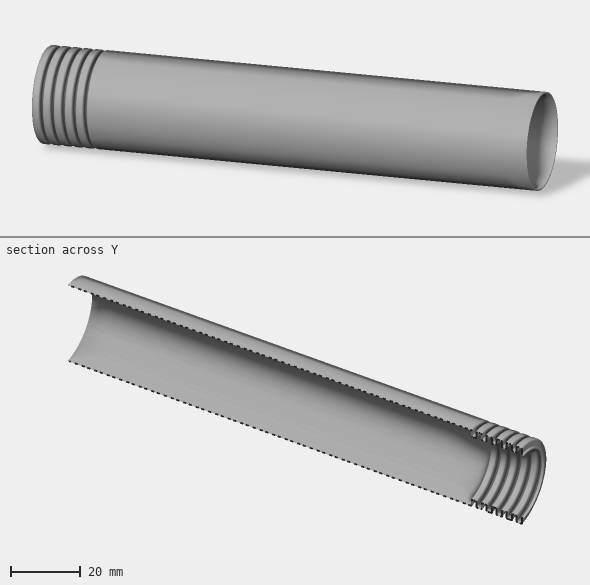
import cadquery as cq

length = 150.0
crest_diameter = 28.5
root_diameter = 23.7
wall = 0.4

crest_count = 5
pitch = 3.3
crest_width = 2.2
first_crest_x = 0.575
bend_inner_radius = 0.2
bend_outer_radius = 0.5

crest_radius = crest_diameter / 2
root_radius = root_diameter / 2
bore_crest_radius = crest_radius - wall
bore_root_radius = root_radius - wall
tube_start_x = first_crest_x + crest_count * pitch


def wall_line(high_radius, low_radius, inset):
    """One side of the wall from the bellows end to the plain end; inset narrows each crest."""
    points = [(0, low_radius)]
    for index in range(crest_count):
        crest_x = first_crest_x + index * pitch
        rise_x = crest_x + inset
        fall_x = crest_x + crest_width - inset
        points += [
            (rise_x, low_radius),
            (rise_x, high_radius),
            (fall_x, high_radius),
            (fall_x, low_radius),
        ]
    points += [
        (tube_start_x + inset, low_radius),
        (tube_start_x + inset, high_radius),
        (length, high_radius),
    ]
    return points


def bend_corners(face, *radii):
    """Corners of the wall section at the given radii, without those on the two end faces."""
    tolerance = 1e-6
    return [
        corner
        for corner in face.Vertices()
        if tolerance < corner.X < length - tolerance
        and any(abs(corner.Y - radius) < tolerance for radius in radii)
    ]


def wall_section():
    """Half section of the wall above the X axis, with every bend rounded."""
    outside = wall_line(crest_radius, root_radius, 0)
    inside = wall_line(bore_crest_radius, bore_root_radius, wall)
    outline = cq.Workplane("XY").polyline(outside + inside[::-1]).close()
    face = cq.Face.makeFromWires(outline.val())
    face = face.fillet2D(bend_inner_radius, bend_corners(face, root_radius, bore_crest_radius))
    return face.fillet2D(bend_outer_radius, bend_corners(face, crest_radius, bore_root_radius))


section_wire = wall_section().outerWire()
result = (
    cq.Workplane("XY")
    .add(section_wire)
    .toPending()
    .revolve(360, (0, 0, 0), (1, 0, 0))
)